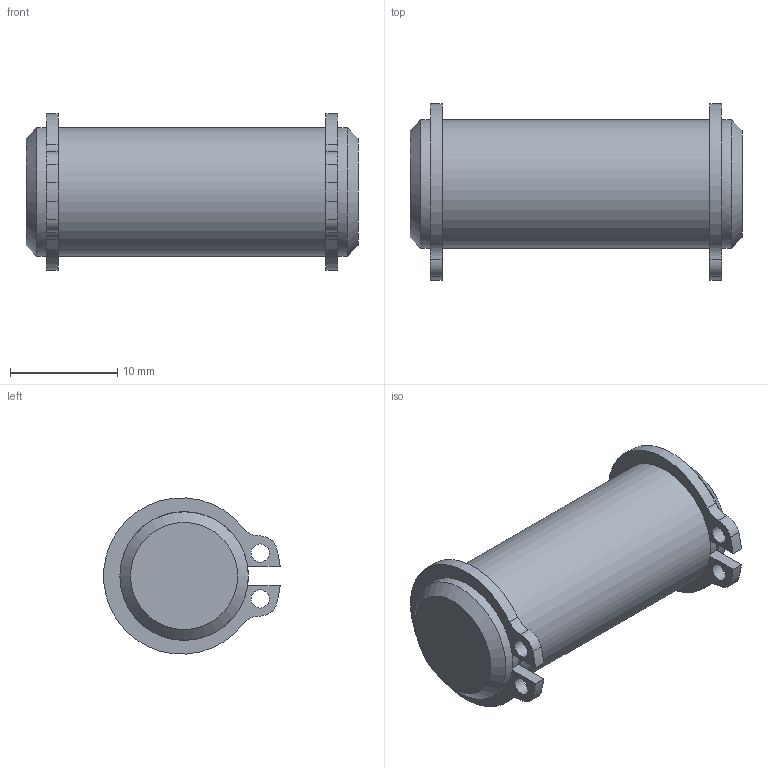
import cadquery as cq
import math

PIN_LENGTH = 31.0
PIN_RADIUS = 12.0 / 2
PIN_CHAMFER = 1.0

GROOVE_RADIUS = 11.5 / 2
RING_THICKNESS = 1.1
RING_END_DISTANCE = 1.9

RING_RADIUS = 14.6 / 2
RING_OFFSET = 0.225
LUG_REACH = 8.975
GAP_HALF_WIDTH = 0.9
HOLE_RADIUS = 1.7 / 2
HOLE_Y = -7.1
HOLE_Z = 2.14
RIM_FILLET = 1.75

LUG_TIP_RADIUS = math.hypot(LUG_REACH, GAP_HALF_WIDTH)
HOLE_DISTANCE = math.hypot(HOLE_Y, HOLE_Z)
LUG_ROUND = LUG_TIP_RADIUS - HOLE_DISTANCE


def toward(start, end, distance):
    """Point at a given distance from start in the direction of end."""
    scale = distance / math.dist(start, end)
    return (start[0] + (end[0] - start[0]) * scale, start[1] + (end[1] - start[1]) * scale)


def arc_middle(center, start, end, radius):
    """Middle point of the short arc about center between start and end."""
    chord_middle = ((start[0] + end[0]) / 2, (start[1] + end[1]) / 2)
    return toward(center, chord_middle, radius)


def fillet_center(rim_center, hole_center):
    """Centre of the blend circle touching both the rim and the lug round from outside."""
    rim_distance = RING_RADIUS + RIM_FILLET
    lug_distance = LUG_ROUND + RIM_FILLET
    span = math.dist(rim_center, hole_center)
    along = (span**2 + rim_distance**2 - lug_distance**2) / (2 * span)
    across = math.sqrt(rim_distance**2 - along**2)
    foot_y, foot_z = toward(rim_center, hole_center, along)
    unit_y = (hole_center[0] - rim_center[0]) / span
    unit_z = (hole_center[1] - rim_center[1]) / span
    return (foot_y + unit_z * across, foot_z - unit_y * across)


def mirrored(point):
    """Point reflected to the other side of the gap."""
    return (point[0], -point[1])


def make_pin():
    """Plain pin with both ends chamfered."""
    pin = cq.Workplane("YZ").circle(PIN_RADIUS).extrude(PIN_LENGTH / 2, both=True)
    return pin.faces("<X or >X").chamfer(PIN_CHAMFER)


def make_ring(x_start):
    """Retaining ring seated on the groove floor, its -X face at x_start."""
    axis = (0, 0)
    rim_center = (RING_OFFSET, 0)
    hole_center = (HOLE_Y, HOLE_Z)
    blend_center = fillet_center(rim_center, hole_center)

    inner_corner = (-math.sqrt(GROOVE_RADIUS**2 - GAP_HALF_WIDTH**2), GAP_HALF_WIDTH)
    outer_corner = (-LUG_REACH, GAP_HALF_WIDTH)
    tip_end = toward(axis, hole_center, LUG_TIP_RADIUS)
    round_end = toward(hole_center, blend_center, LUG_ROUND)
    rim_start = toward(rim_center, blend_center, RING_RADIUS)

    tip_middle = arc_middle(axis, outer_corner, tip_end, LUG_TIP_RADIUS)
    round_middle = arc_middle(hole_center, tip_end, round_end, LUG_ROUND)
    blend_middle = arc_middle(blend_center, round_end, rim_start, RIM_FILLET)

    profile = (
        cq.Workplane("YZ", origin=(x_start, 0, 0))
        .moveTo(*inner_corner)
        .lineTo(*outer_corner)
        .threePointArc(tip_middle, tip_end)
        .threePointArc(round_middle, round_end)
        .threePointArc(blend_middle, rim_start)
        .threePointArc((RING_OFFSET + RING_RADIUS, 0), mirrored(rim_start))
        .threePointArc(mirrored(blend_middle), mirrored(round_end))
        .threePointArc(mirrored(round_middle), mirrored(tip_end))
        .threePointArc(mirrored(tip_middle), mirrored(outer_corner))
        .lineTo(*mirrored(inner_corner))
        .threePointArc((GROOVE_RADIUS, 0), inner_corner)
        .close()
    )
    ring = profile.extrude(RING_THICKNESS)
    holes = (
        cq.Workplane("YZ", origin=(x_start, 0, 0))
        .pushPoints([hole_center, mirrored(hole_center)])
        .circle(HOLE_RADIUS)
        .extrude(RING_THICKNESS)
    )
    return ring.cut(holes)


def make_groove(x_start):
    """Material removed from the pin to seat one ring."""
    return (
        cq.Workplane("YZ", origin=(x_start, 0, 0))
        .circle(PIN_RADIUS)
        .circle(GROOVE_RADIUS)
        .extrude(RING_THICKNESS)
    )


left_ring_start = -PIN_LENGTH / 2 + RING_END_DISTANCE
right_ring_start = PIN_LENGTH / 2 - RING_END_DISTANCE - RING_THICKNESS

result = make_pin()
for ring_start in (left_ring_start, right_ring_start):
    result = result.cut(make_groove(ring_start)).union(make_ring(ring_start))